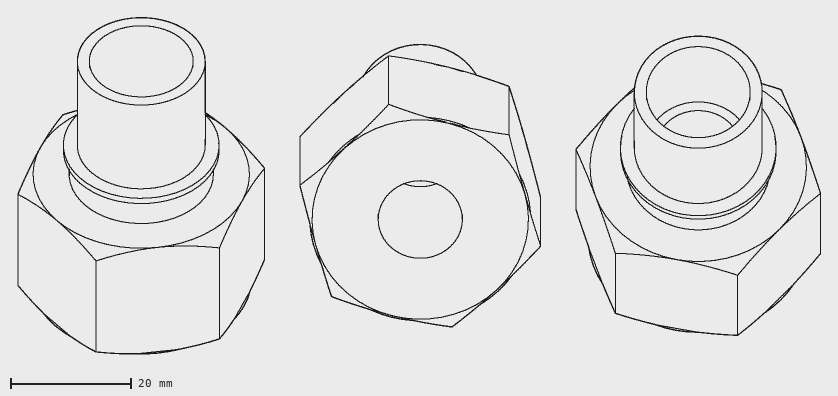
import cadquery as cq
import math

across_flats = 36.0
nut_height = 24.0
chamfer_angle = 30.0
lip_diameter = 36.77

neck_diameter = 24.0
collar_diameter = 25.92
collar_height = 1.2
tube_diameter = 21.3
overall_height = 49.75
tube_length = 19.1

tube_bore_diameter = 17.3
through_bore_diameter = 14.0

across_corners = across_flats / math.cos(math.radians(30))
chamfer_slope = math.tan(math.radians(chamfer_angle))
chamfer_height = (across_corners - across_flats) / 2 * chamfer_slope
lip_height = (lip_diameter - across_flats) / 2 * chamfer_slope
collar_top = overall_height - tube_length
collar_bottom = collar_top - collar_height


def cylinder(diameter, bottom, top):
    """Upright cylinder on the Z axis between two heights."""
    return cq.Workplane("XY").workplane(offset=bottom).circle(diameter / 2).extrude(top - bottom)


def revolve_half_profile(points):
    """Solid of revolution about Z from (radius, height) points."""
    return cq.Workplane("XZ").polyline(points).close().revolve(360, (0, 0, 0), (0, 1, 0))


def make_nut():
    """Hexagon with corners on the Y axis, both ends chamfered by a cone touching the flats."""
    flat_radius = across_flats / 2
    corner_radius = across_corners / 2
    hexagon = (
        cq.Workplane("XY")
        .polygon(6, across_corners)
        .extrude(nut_height)
        .rotate((0, 0, 0), (0, 0, 1), 90)
    )
    chamfer_envelope = revolve_half_profile([
        (0, 0),
        (flat_radius, 0),
        (corner_radius, chamfer_height),
        (corner_radius, nut_height - chamfer_height),
        (flat_radius, nut_height),
        (0, nut_height),
    ])
    return hexagon.intersect(chamfer_envelope)


def make_lip():
    """Thin conical rim continuing the lower chamfer slightly past the flats."""
    return revolve_half_profile([
        (0, 0),
        (across_flats / 2, 0),
        (lip_diameter / 2, lip_height),
        (0, lip_height),
    ])


def make_spigot():
    """Neck, collar and tube rising from the top of the nut."""
    neck = cylinder(neck_diameter, nut_height, collar_bottom)
    collar = cylinder(collar_diameter, collar_bottom, collar_top)
    tube = cylinder(tube_diameter, collar_top, overall_height)
    return neck.union(collar).union(tube)


def make_bore():
    """Through bore, widened along the length of the tube."""
    through_bore = cylinder(through_bore_diameter, 0, overall_height)
    tube_bore = cylinder(tube_bore_diameter, collar_top, overall_height)
    return through_bore.union(tube_bore)


result = make_nut().union(make_lip()).union(make_spigot()).cut(make_bore())